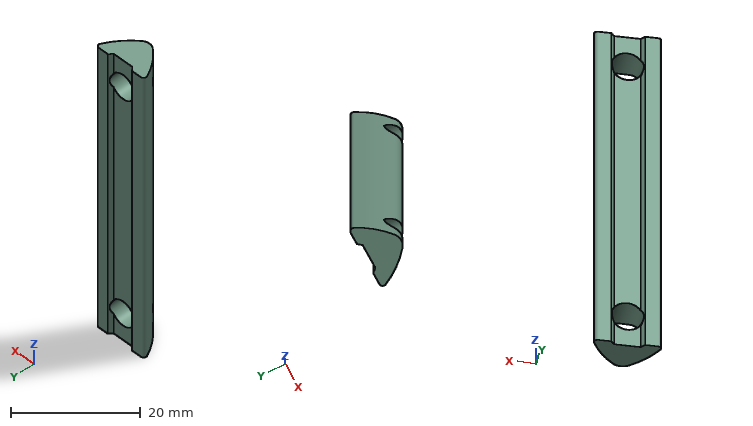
import cadquery as cq
import math

length = 58.0
width = 10.5
depth = 6.3

nose_radius = 2.0
flank_radius = 14.5
corner_radius = 0.6

groove_mouth_width = 5.35
groove_floor_width = 4.2
groove_depth = 0.7

hole_diameter = 5.0
hole_spacing = 47.0

back_y = depth / 2
nose_y = -depth / 2


def point_on_arc(center, radius, angle):
    return (center[0] + radius * math.cos(angle), center[1] + radius * math.sin(angle))


def mirrored(point):
    return (-point[0], point[1])


def flank_center(nose_center, corner_center):
    """Center of the flank arc that encloses and touches the nose and corner circles."""
    nose_reach = flank_radius - nose_radius
    corner_reach = flank_radius - corner_radius
    dx = corner_center[0] - nose_center[0]
    dy = corner_center[1] - nose_center[1]
    span = math.hypot(dx, dy)
    along = (nose_reach**2 - corner_reach**2 + span**2) / (2 * span)
    across = math.sqrt(nose_reach**2 - along**2)
    x = nose_center[0] + (along * dx - across * dy) / span
    y = nose_center[1] + (along * dy + across * dx) / span
    return (x, y)


def make_bar():
    """Bar with a rounded nose, curved flanks and a grooved back."""
    nose_center = (0, nose_y + nose_radius)
    corner_center = (width / 2 - corner_radius, back_y - corner_radius)
    flank = flank_center(nose_center, corner_center)

    nose_angle = math.atan2(nose_center[1] - flank[1], nose_center[0] - flank[0])
    corner_angle = math.atan2(corner_center[1] - flank[1], corner_center[0] - flank[0])

    nose_end = point_on_arc(flank, flank_radius, nose_angle)
    flank_middle = point_on_arc(flank, flank_radius, (nose_angle + corner_angle) / 2)
    flank_end = point_on_arc(flank, flank_radius, corner_angle)
    corner_middle = (width / 2, corner_center[1])
    corner_end = (corner_center[0], back_y)
    groove_mouth = (groove_mouth_width / 2, back_y)
    groove_floor = (groove_floor_width / 2, back_y - groove_depth)

    return (
        cq.Workplane("XY")
        .workplane(offset=-length / 2)
        .moveTo(*mirrored(nose_end))
        .threePointArc((0, nose_y), nose_end)
        .threePointArc(flank_middle, flank_end)
        .threePointArc(corner_middle, corner_end)
        .lineTo(*groove_mouth)
        .lineTo(*groove_floor)
        .lineTo(*mirrored(groove_floor))
        .lineTo(*mirrored(groove_mouth))
        .lineTo(*mirrored(corner_end))
        .threePointArc(mirrored(corner_middle), mirrored(flank_end))
        .threePointArc(mirrored(flank_middle), mirrored(nose_end))
        .close()
        .extrude(length)
    )


def make_cross_holes():
    """Two cylinders along Y, placed evenly about mid-length."""
    hole_positions = [(0, -hole_spacing / 2), (0, hole_spacing / 2)]
    return (
        cq.Workplane("XZ")
        .pushPoints(hole_positions)
        .circle(hole_diameter / 2)
        .extrude(depth, both=True)
    )


result = make_bar().cut(make_cross_holes())